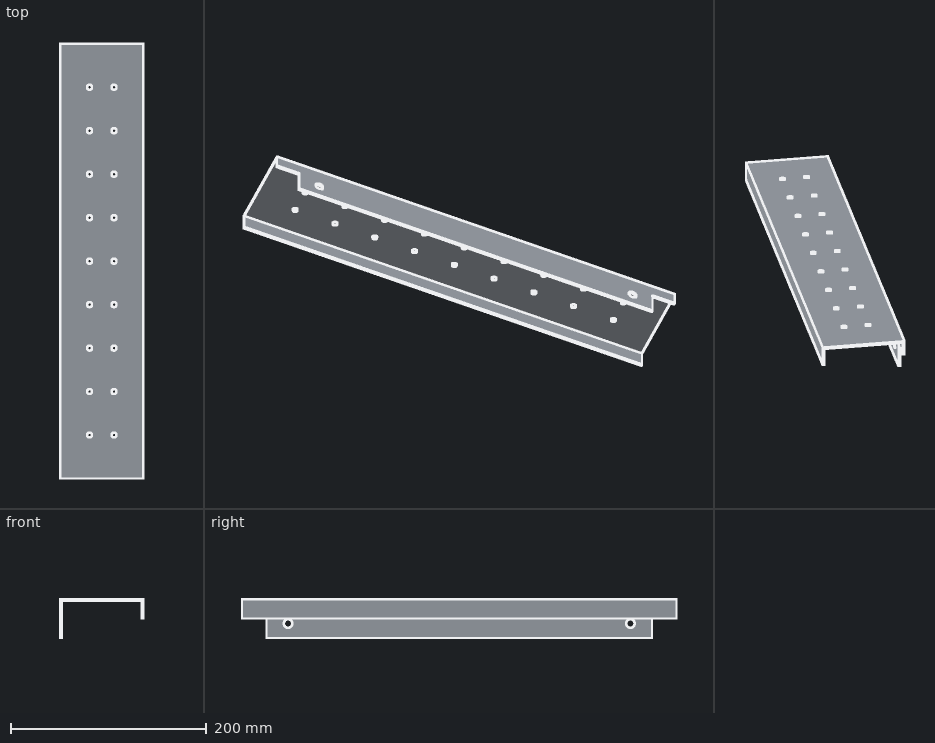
import cadquery as cq

length = 444.5
width = 85.0
deep_flange_height = 40.0
shallow_flange_height = 20.0
thickness = 2.0

notch_length = 25.0
notch_top_depth = 15.0

mounting_hole_diameter = 8.5
mounting_hole_spacing = 350.0
mounting_hole_depth = 25.0

web_hole_diameter = 5.0
web_hole_rows = 9
web_hole_pitch = length / (web_hole_rows + 1)
web_hole_column_spacing = 25.0


def channel():
    """Unequal channel, centred on X and Y, with the web's top face at Z = 0."""
    left = -width / 2
    right = width / 2
    profile = [
        (left, 0),
        (right, 0),
        (right, -shallow_flange_height),
        (right - thickness, -shallow_flange_height),
        (right - thickness, -thickness),
        (left + thickness, -thickness),
        (left + thickness, -deep_flange_height),
        (left, -deep_flange_height),
    ]
    return cq.Workplane("XZ").polyline(profile).close().extrude(length / 2, both=True)


def end_notches():
    """Blocks at both ends that cover the lower corners of the deep flange."""
    notch_height = deep_flange_height - notch_top_depth
    notch_offset = (length - notch_length) / 2
    return (
        cq.Workplane("XY", origin=(-width / 2, 0, -deep_flange_height))
        .pushPoints([(0, -notch_offset), (0, notch_offset)])
        .box(2 * thickness, notch_length, notch_height, centered=(True, True, False))
    )


def mounting_holes():
    """Cylinders through the deep flange along X."""
    return (
        cq.Workplane("YZ", origin=(-width / 2, 0, -mounting_hole_depth))
        .rarray(mounting_hole_spacing, 1, 2, 1)
        .circle(mounting_hole_diameter / 2)
        .extrude(thickness)
    )


def web_holes():
    """Cylinders through the web along Z, in a centred grid."""
    return (
        cq.Workplane("XY")
        .rarray(web_hole_column_spacing, web_hole_pitch, 2, web_hole_rows)
        .circle(web_hole_diameter / 2)
        .extrude(-thickness)
    )


result = channel().cut(end_notches()).cut(mounting_holes()).cut(web_holes())